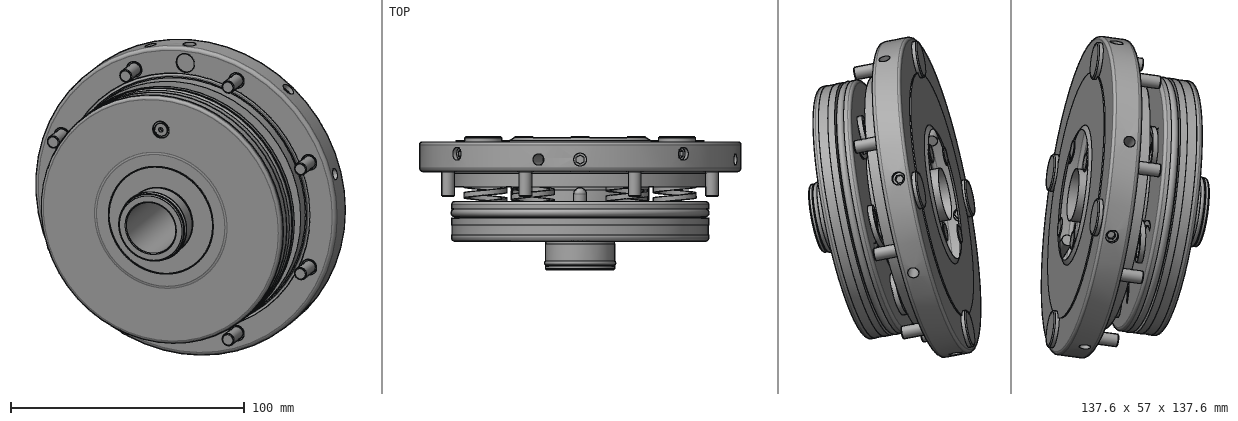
import cadquery as cq
import math


BORE_R = 11.3
BORE_CHAMFER = 0.4
HUB_R = 14.9
HUB_CHAMFER = 0.5
HUB_NECK_R = HUB_R - 0.1
HUB_NECK_LENGTH = 1.0

HUB_SEAL_WIRE = 1.8
HUB_SEAL_OUTER_R = 15.3
HUB_GROOVE_FRONT = 1.7
HUB_GROOVE_BACK = 3.9

PISTON_R = 55.1
PISTON_FRONT = 12.3
PISTON_BACK = 29.3
PISTON_ROUND = 1.4
BAND_FRONT = 15.0
BAND_BACK = 19.1
BAND_R = PISTON_R - 0.1
FACE_RIDGE_R = 30.3
FACE_RIDGE_HEIGHT = 0.1
FACE_RIDGE_SLOPE = 1.0
FACE_GROOVE_R = 23.8
FACE_GROOVE_WIDTH = 0.3
FACE_GROOVE_DEPTH = 0.7

PISTON_SEAL_WIRE = 3.5
PISTON_SEAL_OUTER_R = 55.2
PISTON_GROOVE_FRONT = 22.2
PISTON_GROOVE_BACK = 26.2

CORE_R = 28.9
CORE_COLLAR_R = 29.5
CORE_COLLAR_FRONT = 34.3

PLATE_R = 55.2
PLATE_FRONT = 35.5
PLATE_STEP_R = 55.8
PLATE_STEP_FRONT = 41.2
PLATE_GROOVE_OUTER_R = 57.0
PLATE_GROOVE_WALL = 0.8
FLANGE_R = 68.8
FLANGE_FRONT = 42.0
FLANGE_BACK = 54.8
FLANGE_FRONT_ROUND = 1.7
FLANGE_BACK_ROUND = 1.2
PLATE_BACK_R = 53.1
PLATE_BACK = 55.4
COVER_R = 30.3
COVER_SLOPE = 2.0
COVER_BACK = 56.6
OVERALL_LENGTH = 57.0

PIN_COUNT = 8
PIN_CIRCLE_R = 61.1
PIN_R = 2.8
PIN_TIP = 31.5
PIN_CHAMFER = 0.4
PIN_RECESS_R = 3.5
PIN_RECESS_DEPTH = 0.5

SPRING_COUNT = 6
SPRING_CIRCLE_R = 40.5
SPRING_OUTER_R = 9.2
SPRING_STRIP_WIDTH = 2.0
SPRING_STRIP_HEIGHT = 2.2
SPRING_PITCH = 4.5
SPRING_TURNS = 2.25
SPRING_START = 27.4
GUIDE_PIN_R = 2.8
GUIDE_PIN_SHOULDER = 32.5
GUIDE_PIN_TIP = 35.1
GUIDE_RECESS_R = 3.7
GUIDE_RECESS_INNER_R = 2.9
GUIDE_RECESS_DEPTH = 0.8
GUIDE_HOLE_R = 1.0
GUIDE_HOLE_DEPTH = 2.0

PLAIN_HOLE_R = 2.41
PLAIN_HOLE_DEPTH = 16.5
PLAIN_HOLE_Y = 47.2
PLAIN_HOLE_ANGLES = [15, 105, 195, 285]
SCREW_R = 2.8
SCREW_DEPTH = 2.2
SCREW_SOCKET_WIDTH = 3.3
SCREW_SOCKET_DEPTH = 2.0
SCREW_Y = 49.7
SCREW_ANGLES = [50, 140, 230, 320]
TOP_SCREW_ANGLE = 90

FACE_RECESS_R = 4.1
FACE_RECESS_Z = 61.8
FACE_RECESS_DEPTH = 0.8

LARGE_HEAD_CIRCLE_R = 58.7
LARGE_HEAD_R = 8.0
SMALL_HEAD_CIRCLE_R = 24.1
SMALL_HEAD_R = 4.3
HEAD_CHAMFER = 0.5


def rod(radius, y_front, y_back, x=0, z=0):
    """Cylinder along Y from y_front to y_back."""
    return cq.Workplane(cq.Solid.makeCylinder(
        radius, y_back - y_front, cq.Vector(x, y_front, z), cq.Vector(0, 1, 0)))


def on_circle(radius, degrees):
    """X and Z of a point on a circle about the Y axis, counted from +X towards +Z."""
    angle = math.radians(degrees)
    return radius * math.cos(angle), radius * math.sin(angle)


def o_ring(outer_r, wire, y):
    wire_r = wire / 2
    return cq.Workplane(cq.Solid.makeTorus(
        outer_r - wire_r, wire_r, cq.Vector(0, y, 0), cq.Vector(0, 1, 0)))


def turned_body():
    """Hub, piston, core, plate, flange and cover turned from one half section."""
    hub_groove_r = HUB_SEAL_OUTER_R - HUB_SEAL_WIRE
    piston_groove_r = PISTON_SEAL_OUTER_R - PISTON_SEAL_WIRE
    ridge_front = PISTON_FRONT - FACE_RIDGE_HEIGHT
    plate_groove_back = FLANGE_FRONT + PLATE_GROOVE_WALL
    plate_groove_round = (PLATE_GROOVE_OUTER_R - PLATE_STEP_R) / 2
    outline = (
        cq.Workplane("XY")
        .moveTo(BORE_R, BORE_CHAMFER)
        .lineTo(BORE_R + BORE_CHAMFER, 0)
        .lineTo(HUB_R - HUB_CHAMFER, 0)
        .lineTo(HUB_R, HUB_CHAMFER)
        .lineTo(HUB_R, HUB_GROOVE_FRONT)
        .lineTo(hub_groove_r, HUB_GROOVE_FRONT)
        .lineTo(hub_groove_r, HUB_GROOVE_BACK)
        .lineTo(HUB_R, HUB_GROOVE_BACK)
        .lineTo(HUB_R, ridge_front - HUB_NECK_LENGTH)
        .lineTo(HUB_NECK_R, ridge_front - HUB_NECK_LENGTH)
        .lineTo(HUB_NECK_R, ridge_front)
        .lineTo(FACE_RIDGE_R - FACE_RIDGE_SLOPE, ridge_front)
        .lineTo(FACE_RIDGE_R, PISTON_FRONT)
        .lineTo(PISTON_R - PISTON_ROUND, PISTON_FRONT)
        .radiusArc((PISTON_R, PISTON_FRONT + PISTON_ROUND), -PISTON_ROUND)
        .lineTo(PISTON_R, BAND_FRONT)
        .lineTo(BAND_R, BAND_FRONT)
        .lineTo(BAND_R, BAND_BACK)
        .lineTo(PISTON_R, BAND_BACK)
        .lineTo(PISTON_R, PISTON_GROOVE_FRONT)
        .lineTo(piston_groove_r, PISTON_GROOVE_FRONT)
        .lineTo(piston_groove_r, PISTON_GROOVE_BACK)
        .lineTo(PISTON_R, PISTON_GROOVE_BACK)
        .lineTo(PISTON_R, PISTON_BACK - PISTON_ROUND)
        .radiusArc((PISTON_R - PISTON_ROUND, PISTON_BACK), -PISTON_ROUND)
        .lineTo(CORE_R, PISTON_BACK)
        .lineTo(CORE_R, CORE_COLLAR_FRONT)
        .lineTo(CORE_COLLAR_R, CORE_COLLAR_FRONT)
        .lineTo(CORE_COLLAR_R, PLATE_FRONT)
        .lineTo(PLATE_R, PLATE_FRONT)
        .lineTo(PLATE_R, PLATE_STEP_FRONT)
        .lineTo(PLATE_STEP_R, PLATE_STEP_FRONT)
        .lineTo(PLATE_STEP_R, plate_groove_back)
        .threePointArc(
            (PLATE_STEP_R + plate_groove_round, plate_groove_back + plate_groove_round),
            (PLATE_GROOVE_OUTER_R, plate_groove_back),
        )
        .lineTo(PLATE_GROOVE_OUTER_R, FLANGE_FRONT)
        .lineTo(FLANGE_R - FLANGE_FRONT_ROUND, FLANGE_FRONT)
        .radiusArc((FLANGE_R, FLANGE_FRONT + FLANGE_FRONT_ROUND), -FLANGE_FRONT_ROUND)
        .lineTo(FLANGE_R, FLANGE_BACK - FLANGE_BACK_ROUND)
        .radiusArc((FLANGE_R - FLANGE_BACK_ROUND, FLANGE_BACK), -FLANGE_BACK_ROUND)
        .lineTo(PLATE_BACK_R, FLANGE_BACK)
        .lineTo(PLATE_BACK_R, PLATE_BACK)
        .lineTo(COVER_R, PLATE_BACK)
        .lineTo(COVER_R - COVER_SLOPE, COVER_BACK)
        .lineTo(BORE_R, COVER_BACK)
        .close()
    )
    return outline.revolve(360, (0, 0, 0), (0, 1, 0))


def face_groove():
    """Thin ring groove in the front face of the piston."""
    back = PISTON_FRONT - FACE_RIDGE_HEIGHT + FACE_GROOVE_DEPTH
    outer = rod(FACE_GROOVE_R + FACE_GROOVE_WIDTH / 2, 0, back)
    return outer.cut(rod(FACE_GROOVE_R - FACE_GROOVE_WIDTH / 2, 0, back))


def flange_pin_recess(x, z):
    return rod(PIN_RECESS_R, FLANGE_FRONT, FLANGE_FRONT + PIN_RECESS_DEPTH, x, z)


def flange_pin(x, z):
    return rod(PIN_R, PIN_TIP, FLANGE_FRONT + PIN_RECESS_DEPTH, x, z).faces("<Y").chamfer(PIN_CHAMFER)


def spring(degrees):
    """Flat-strip coil whose two ends run into the piston and the plate."""
    coil_r = SPRING_OUTER_R - SPRING_STRIP_WIDTH / 2
    path = cq.Wire.makeHelix(SPRING_PITCH, SPRING_PITCH * SPRING_TURNS, coil_r)
    strip = cq.Workplane("XZ").center(coil_r, 0).rect(SPRING_STRIP_WIDTH, SPRING_STRIP_HEIGHT)
    coil = strip.sweep(cq.Workplane(path), isFrenet=True).rotate((0, 0, 0), (1, 0, 0), -90)
    coil = coil.translate((SPRING_CIRCLE_R, SPRING_START, 0))
    return coil.rotate((0, 0, 0), (0, 1, 0), -degrees)


def guide_pin():
    """Pin with a rounded tip behind the piston."""
    pin = rod(GUIDE_PIN_R, PISTON_BACK, GUIDE_PIN_TIP, 0, SPRING_CIRCLE_R)
    return pin.faces(">Y").edges().fillet(GUIDE_PIN_TIP - GUIDE_PIN_SHOULDER)


def guide_pin_recess():
    """Ring groove and centre hole where the guide pin meets the piston's front face."""
    groove_back = PISTON_FRONT + GUIDE_RECESS_DEPTH
    ring = rod(GUIDE_RECESS_R, PISTON_FRONT, groove_back, 0, SPRING_CIRCLE_R)
    ring = ring.cut(rod(GUIDE_RECESS_INNER_R, PISTON_FRONT, groove_back, 0, SPRING_CIRCLE_R))
    hole = rod(GUIDE_HOLE_R, PISTON_FRONT, PISTON_FRONT + GUIDE_HOLE_DEPTH, 0, SPRING_CIRCLE_R)
    return ring.union(hole)


def rim_plane(y, degrees):
    """Workplane on the flange rim whose normal points outwards."""
    x, z = on_circle(FLANGE_R, degrees)
    return cq.Workplane(cq.Plane((x, y, z), (0, 1, 0), (x, 0, z)))


def plain_rim_hole(degrees):
    return rim_plane(PLAIN_HOLE_Y, degrees).circle(PLAIN_HOLE_R).extrude(-PLAIN_HOLE_DEPTH)


def rim_screw(y, degrees):
    """Set-screw recess with a hexagon socket below it."""
    rim = rim_plane(y, degrees)
    socket_across_corners = SCREW_SOCKET_WIDTH / math.cos(math.pi / 6)
    recess = rim.circle(SCREW_R).extrude(-SCREW_DEPTH)
    return recess.union(rim.polygon(6, socket_across_corners).extrude(-SCREW_DEPTH - SCREW_SOCKET_DEPTH))


def back_head(radius, y_front, x, z):
    return rod(radius, y_front, OVERALL_LENGTH, x, z).faces(">Y").chamfer(HEAD_CHAMFER)


body = turned_body().cut(face_groove()).cut(guide_pin_recess()).union(guide_pin())
body = body.cut(rod(FACE_RECESS_R, FLANGE_FRONT, FLANGE_FRONT + FACE_RECESS_DEPTH, 0, FACE_RECESS_Z))
for i in range(PIN_COUNT):
    pin_x, pin_z = on_circle(PIN_CIRCLE_R, (i + 0.5) * 360 / PIN_COUNT)
    body = body.cut(flange_pin_recess(pin_x, pin_z)).union(flange_pin(pin_x, pin_z))
for hole_angle in PLAIN_HOLE_ANGLES:
    body = body.cut(plain_rim_hole(hole_angle))
for screw_angle in SCREW_ANGLES:
    body = body.cut(rim_screw(SCREW_Y, screw_angle))
body = body.cut(rim_screw(PLAIN_HOLE_Y, TOP_SCREW_ANGLE))
for quarter in range(4):
    large_x, large_z = on_circle(LARGE_HEAD_CIRCLE_R, 45 + 90 * quarter)
    small_x, small_z = on_circle(SMALL_HEAD_CIRCLE_R, 90 * quarter)
    body = body.union(back_head(LARGE_HEAD_R, FLANGE_BACK, large_x, large_z))
    body = body.union(back_head(SMALL_HEAD_R, PLATE_BACK, small_x, small_z))
for i in range(SPRING_COUNT):
    body = body.union(spring(i * 360 / SPRING_COUNT))

piston_seal = o_ring(PISTON_SEAL_OUTER_R, PISTON_SEAL_WIRE, PISTON_GROOVE_BACK - PISTON_SEAL_WIRE / 2)
hub_seal = o_ring(HUB_SEAL_OUTER_R, HUB_SEAL_WIRE, HUB_GROOVE_BACK - HUB_SEAL_WIRE / 2)

result = cq.Compound.makeCompound([body.val(), piston_seal.val(), hub_seal.val()])